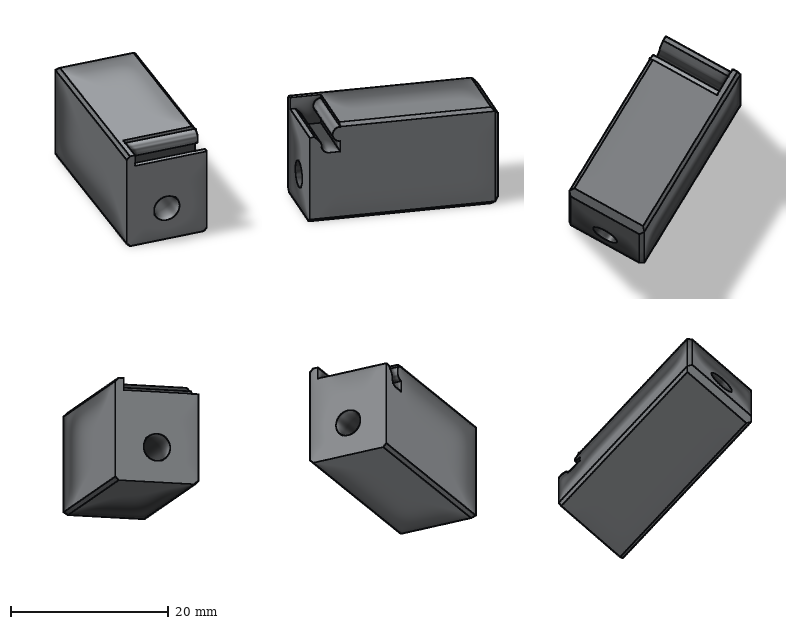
import cadquery as cq
import math

LENGTH = 24.9
OVERALL_WIDTH = 11.1
HEIGHT = 13.3
FIN_REACH = 0.1
WIDTH = OVERALL_WIDTH - FIN_REACH
NEAR_Y = -OVERALL_WIDTH / 2
FAR_Y = NEAR_Y + WIDTH
MIDDLE_Y = (NEAR_Y + FAR_Y) / 2
LONG_CHAMFER = 0.45
END_CHAMFER = 0.92

BORE_DIAMETER = 3.5
BORE_HEIGHT = 4.53

WALL_THICKNESS = 1.15
NOTCH_START = 20.87
ROUND_RADIUS = 1.0
LIP_LENGTH = 0.67
LIP_DROP = 1.57
LIP_SLOPE = 0.62
CUT_MARGIN = 1.25

FIN_LENGTH = 0.17
FIN_HEIGHT = 0.05

BEAD_TOP = HEIGHT - LONG_CHAMFER
ARC_45 = ROUND_RADIUS * math.sqrt(0.5)


def corner_cutter(plane, origin, size_a, size_b, depth):
    """Triangular prism with its right angle at the origin of the plane."""
    return (
        cq.Workplane(plane, origin=origin)
        .polyline([(0, 0), (size_a, 0), (0, size_b)])
        .close()
        .extrude(depth)
    )


def make_block():
    """Box with chamfers along X and around its -X face."""
    block = (
        cq.Workplane("XY", origin=(0, NEAR_Y, 0))
        .box(LENGTH, WIDTH, HEIGHT, centered=False)
        .edges("|X")
        .chamfer(LONG_CHAMFER)
    )
    for z, rise in ((0, END_CHAMFER), (HEIGHT, -END_CHAMFER)):
        block = block.cut(corner_cutter("XZ", (0, NEAR_Y, z), END_CHAMFER, rise, -WIDTH))
    for y, inward in ((NEAR_Y, LONG_CHAMFER), (FAR_Y, -LONG_CHAMFER)):
        block = block.cut(corner_cutter("XY", (0, y, 0), LONG_CHAMFER, inward, HEIGHT))
    return block


def make_fin():
    """Small tab on the +Y face, reaching inside the block to join it."""
    return cq.Workplane("XY", origin=(NOTCH_START, MIDDLE_Y, BEAD_TOP - FIN_HEIGHT)).box(
        FIN_LENGTH, WIDTH / 2 + FIN_REACH, FIN_HEIGHT, centered=False
    )


def make_notch():
    """Cutter that leaves a half-round bead, a floor and an S-curve rising to the sloped lip."""
    bead_middle = BEAD_TOP - ROUND_RADIUS
    bead_bottom = bead_middle - ROUND_RADIUS

    slope_top_x = LENGTH - LIP_LENGTH
    slope_top_z = HEIGHT - LIP_DROP
    slope_foot_x = slope_top_x - LIP_SLOPE
    slope_foot_z = slope_top_z - LIP_SLOPE
    bend_x = slope_foot_x - (ROUND_RADIUS - ARC_45)
    bend_z = slope_foot_z - ARC_45
    floor_end_x = bend_x - ROUND_RADIUS
    floor_z = bend_z - ROUND_RADIUS

    return (
        cq.Workplane("XZ", origin=(0, NEAR_Y + WALL_THICKNESS, 0))
        .moveTo(NOTCH_START, HEIGHT + CUT_MARGIN)
        .lineTo(NOTCH_START, BEAD_TOP)
        .threePointArc((NOTCH_START + ROUND_RADIUS, bead_middle), (NOTCH_START, bead_bottom))
        .lineTo(NOTCH_START, floor_z)
        .lineTo(floor_end_x, floor_z)
        .threePointArc((floor_end_x + ARC_45, bend_z - ARC_45), (bend_x, bend_z))
        .radiusArc((slope_foot_x, slope_foot_z), ROUND_RADIUS)
        .lineTo(slope_top_x, slope_top_z)
        .lineTo(LENGTH + CUT_MARGIN, slope_top_z)
        .lineTo(LENGTH + CUT_MARGIN, HEIGHT + CUT_MARGIN)
        .close()
        .extrude(-WIDTH)
    )


def make_bore():
    """Cylinder running the full length of the block."""
    return (
        cq.Workplane("YZ", origin=(0, MIDDLE_Y, BORE_HEIGHT))
        .circle(BORE_DIAMETER / 2)
        .extrude(LENGTH)
    )


result = make_block().union(make_fin()).cut(make_notch()).cut(make_bore())